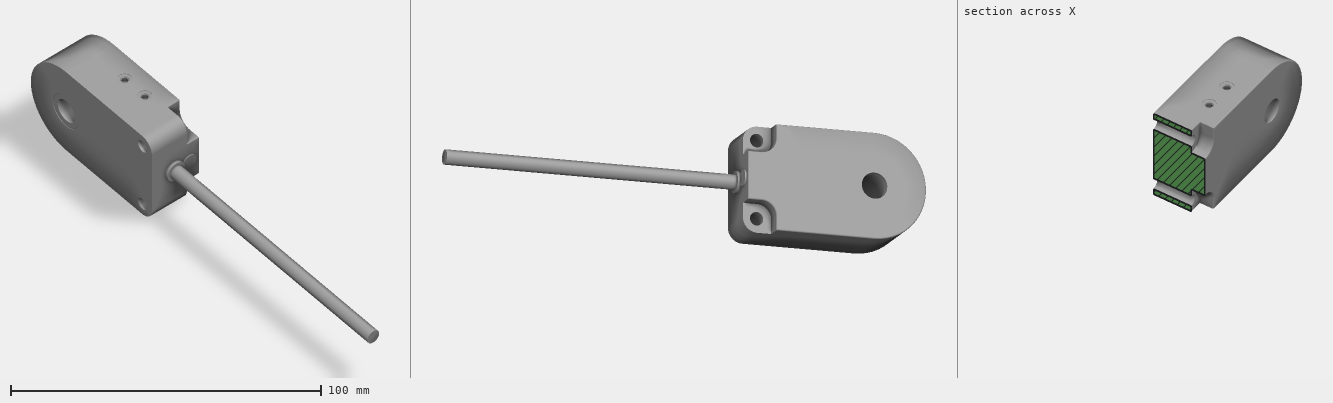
import cadquery as cq

total_length = 160.6
body_depth = 20.0
body_height = 35.3
body_length = 60.7
corner_radius = 4.8
back_edge_radius = 0.5

nose_radius = body_height / 2
front_y = -body_depth / 2
back_y = body_depth / 2
body_left = -total_length / 2
body_right = body_left + body_length
bore_x = body_left + nose_radius

bore_diameter = 8.7
bushing_diameter = 13.3
bushing_recess = 0.2

mount_hole_diameter = 4.5
mount_hole_inset = 4.7
mount_hole_x = body_right - mount_hole_inset
mount_hole_z = nose_radius - mount_hole_inset
pocket_radius = 5.0
pocket_depth = 5.3

screw_diameter = 5.0
screw_recess = 0.2
countersink_diameter = 3.0
countersink_depth = 0.3
socket_across_corners = 2.5
socket_depth = 2.0
screw_positions_x = (-48.0, -37.9)
screw_y = 2.4

cable_diameter = 5.0
grommet_diameter = 7.4
grommet_length = 1.1
cable_y = -0.6

indicator_diameter = 5.5
indicator_height = 0.5
indicator_y = 5.6


def y_cylinder(x, z, diameter, start_y, length):
    """Cylinder along +Y from start_y."""
    base = cq.Vector(x, start_y, z)
    return cq.Workplane(cq.Solid.makeCylinder(diameter / 2, length, base, cq.Vector(0, 1, 0)))


def x_cylinder(y, diameter, length):
    """Cylinder along +X from the flat end of the body, at mid height."""
    return cq.Workplane("YZ", origin=(body_right, y, 0)).circle(diameter / 2).extrude(length)


def body_blank():
    """D-shaped plate: half-round nose on the left, rounded corners on the right."""
    return (
        cq.Workplane("XZ", origin=(0, back_y, 0))
        .moveTo(bore_x, nose_radius)
        .lineTo(body_right, nose_radius)
        .lineTo(body_right, -nose_radius)
        .lineTo(bore_x, -nose_radius)
        .threePointArc((body_left, 0), (bore_x, nose_radius))
        .close()
        .extrude(body_depth)
        .edges("|Y and >X")
        .fillet(corner_radius)
    )


def corner_pocket(side):
    """Open corner pocket whose inner corner is rounded about the mounting hole; side is +1 or -1 in Z."""
    reach = pocket_radius + 2 * mount_hole_inset
    return (
        cq.Workplane("XZ", origin=(mount_hole_x, back_y, side * mount_hole_z))
        .moveTo(-pocket_radius, 0)
        .lineTo(-pocket_radius, side * reach)
        .lineTo(reach, side * reach)
        .lineTo(reach, -side * pocket_radius)
        .lineTo(0, -side * pocket_radius)
        .radiusArc((-pocket_radius, 0), side * pocket_radius)
        .close()
        .extrude(pocket_depth)
    )


def set_screw_cut(x):
    """Shallow seat of a set screw with a countersunk hexagon socket in its floor."""
    top_face = cq.Workplane("XY", origin=(x, screw_y, nose_radius))
    seat = top_face.circle(screw_diameter / 2).extrude(-screw_recess)
    countersink = (
        top_face.workplane(offset=-screw_recess)
        .circle(countersink_diameter / 2)
        .workplane(offset=-countersink_depth)
        .circle(socket_across_corners / 2)
        .loft()
    )
    socket = top_face.polygon(6, socket_across_corners).extrude(-socket_depth)
    return seat.union(countersink).union(socket)


body = body_blank()
for side in (1, -1):
    body = body.cut(corner_pocket(side))
body = body.faces(">Y").edges().fillet(back_edge_radius)

for side in (1, -1):
    body = body.cut(y_cylinder(mount_hole_x, side * mount_hole_z, mount_hole_diameter, front_y, body_depth))

body = body.cut(y_cylinder(bore_x, 0, bore_diameter, front_y, body_depth))
body = body.cut(y_cylinder(bore_x, 0, bushing_diameter, front_y, bushing_recess))

for x in screw_positions_x:
    body = body.cut(set_screw_cut(x))

indicator = x_cylinder(indicator_y, indicator_diameter, indicator_height)
grommet = x_cylinder(cable_y, grommet_diameter, grommet_length)
cable = x_cylinder(cable_y, cable_diameter, total_length - body_length)

result = body.union(indicator).union(grommet).union(cable)